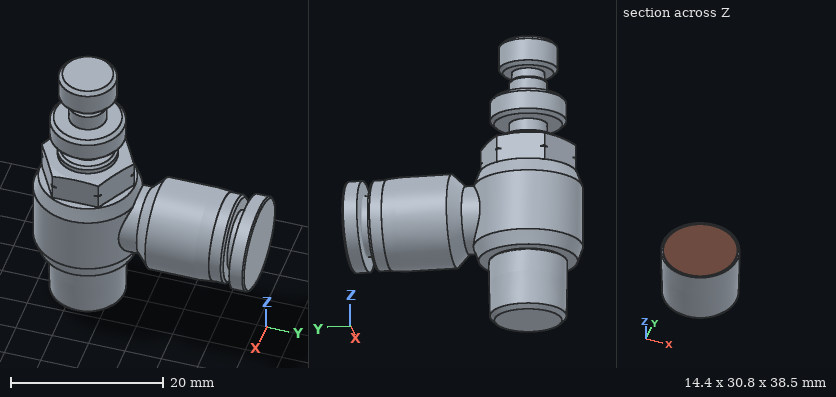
import cadquery as cq
import math

thread_chamfer = 0.6
thread_taper_top = 5.1
thread_top = 8.1
thread_dia = 10.3
thread_end_dia = 10.08
stem_dia = 9.8

barrel_bottom = 8.3
barrel_height = 12.0
barrel_top = barrel_bottom + barrel_height
barrel_dia = 14.4
barrel_end_dia = 13.0
barrel_cone_height = 1.9

branch_z = 14.45
branch_neck_dia = 9.0
sleeve_dia = 12.4
sleeve_start = 9.8
sleeve_cone_length = (sleeve_dia - branch_neck_dia) / 2
sleeve_taper_start = 16.6
sleeve_end = 18.5
sleeve_end_dia = 12.1

cap_dia = 11.95
cap_end = 20.4
cap_chamfer = 0.3
cartridge_neck_dia = 8.0
flange_start = 21.6
flange_end = 23.6
flange_width = 14.0
flange_height = 11.8
flange_edge_chamfer = 0.2
flange_root_fillet = 0.2

hex_across_flats = 11.0
hex_across_corners = hex_across_flats / math.cos(math.pi / 6)
hex_height = 4.0
hex_top = barrel_top + hex_height
hex_crown_dia = 10.8
hex_crown_angle = math.radians(15)
notch_height = 1.9
notch_z = barrel_top + notch_height
notch_inner_dia = 12.2
notch_angle = math.radians(30)
cutter_overhang = 1.0
collar_dia = 8.0
collar_height = 1.0
collar_top = hex_top + collar_height
collar_chamfer = 0.35

needle_dia = 5.0
nut_dia = 10.0
nut_bottom = 27.3
nut_top = 30.77
needle_shoulder = 33.3
needle_shoulder_chamfer = 0.3
needle_neck_dia = 4.3
knob_dia = 7.7
knob_height = 4.0
knob_top = 38.45
knob_bottom = knob_top - knob_height
rim_chamfer = 0.5


def cylinder(dia, bottom, top):
    """Upright cylinder on the Z axis between two heights."""
    return cq.Workplane("XY").workplane(offset=bottom).circle(dia / 2).extrude(top - bottom)


def revolve_about_z(points):
    """Solid of revolution about Z from (radius, height) points."""
    return cq.Workplane("XZ").polyline(points).close().revolve(360, (0, 0, 0), (0, 1, 0))


def branch_plane(y):
    """Workplane across the branch axis at the given Y, with outward along +Y."""
    plane = cq.Plane(origin=(0, y, branch_z), xDir=(1, 0, 0), normal=(0, 1, 0))
    return cq.Workplane(plane)


def make_elbow():
    barrel = revolve_about_z([
        (0, barrel_bottom),
        (barrel_end_dia / 2, barrel_bottom),
        (barrel_dia / 2, barrel_bottom + barrel_cone_height),
        (barrel_dia / 2, barrel_top - barrel_cone_height),
        (barrel_end_dia / 2, barrel_top),
        (0, barrel_top),
    ])
    branch_profile = [
        (0, 0),
        (branch_neck_dia / 2, 0),
        (branch_neck_dia / 2, sleeve_start - sleeve_cone_length),
        (sleeve_dia / 2, sleeve_start),
        (sleeve_dia / 2, sleeve_taper_start),
        (sleeve_end_dia / 2, sleeve_end),
        (0, sleeve_end),
    ]
    branch = (
        cq.Workplane("XY", origin=(0, 0, branch_z))
        .polyline(branch_profile).close()
        .revolve(360, (0, 0, 0), (0, 1, 0))
    )
    stem_bore = cylinder(stem_dia, barrel_bottom, barrel_top)
    return barrel.union(branch).cut(stem_bore)


def make_hexagon():
    hexagon = (
        cq.Workplane("XY").workplane(offset=barrel_top)
        .polygon(6, hex_across_corners).extrude(hex_height)
        .rotate((0, 0, 0), (0, 0, 1), 30)
    )
    outer_radius = hex_across_corners / 2 + cutter_overhang
    crown_radius = hex_crown_dia / 2
    crown_drop = (outer_radius - crown_radius) * math.tan(hex_crown_angle)
    crown = revolve_about_z([
        (crown_radius, hex_top),
        (outer_radius, hex_top),
        (outer_radius, hex_top - crown_drop),
    ])
    notch_radius = notch_inner_dia / 2
    notch_rise = (outer_radius - notch_radius) * math.tan(notch_angle)
    notch = revolve_about_z([
        (notch_radius, notch_z),
        (outer_radius, notch_z),
        (outer_radius, notch_z + notch_rise),
    ])
    return hexagon.cut(crown).cut(notch)


def make_stud():
    thread = revolve_about_z([
        (0, 0),
        (thread_end_dia / 2 - thread_chamfer, 0),
        (thread_end_dia / 2, thread_chamfer),
        (thread_dia / 2, thread_taper_top),
        (thread_dia / 2, thread_top),
        (0, thread_top),
    ])
    stem = cylinder(stem_dia, thread_top, barrel_top)
    collar = cylinder(collar_dia, hex_top, collar_top).faces(">Z").chamfer(collar_chamfer)
    return thread.union(stem).union(make_hexagon()).union(collar)


def make_cartridge():
    cap = (
        branch_plane(sleeve_end).circle(cap_dia / 2).extrude(cap_end - sleeve_end)
        .faces(">Y").chamfer(cap_chamfer)
    )
    neck = branch_plane(cap_end).circle(cartridge_neck_dia / 2).extrude(flange_start - cap_end)
    flange = (
        branch_plane(flange_start).ellipse(flange_width / 2, flange_height / 2)
        .extrude(flange_end - flange_start)
        .faces(">Y").chamfer(flange_edge_chamfer)
    )
    push_ring = neck.union(flange)
    push_ring = push_ring.edges("%CIRCLE").edges(">Y").fillet(flange_root_fillet)
    return cap.union(push_ring)


def make_needle():
    shank = (
        cylinder(needle_dia, collar_top, needle_shoulder)
        .faces(">Z").chamfer(needle_shoulder_chamfer)
    )
    neck = cylinder(needle_neck_dia, needle_shoulder, knob_bottom)
    nut = cylinder(nut_dia, nut_bottom, nut_top).edges("%CIRCLE").chamfer(rim_chamfer)
    knob = cylinder(knob_dia, knob_bottom, knob_top).edges("%CIRCLE").chamfer(rim_chamfer)
    return shank.union(neck).union(nut).union(knob)


elbow = make_elbow()
stud = make_stud()
cartridge = make_cartridge()
needle = make_needle()

result = cq.Compound.makeCompound([
    elbow.val(),
    stud.val(),
    cartridge.val(),
    needle.val(),
])